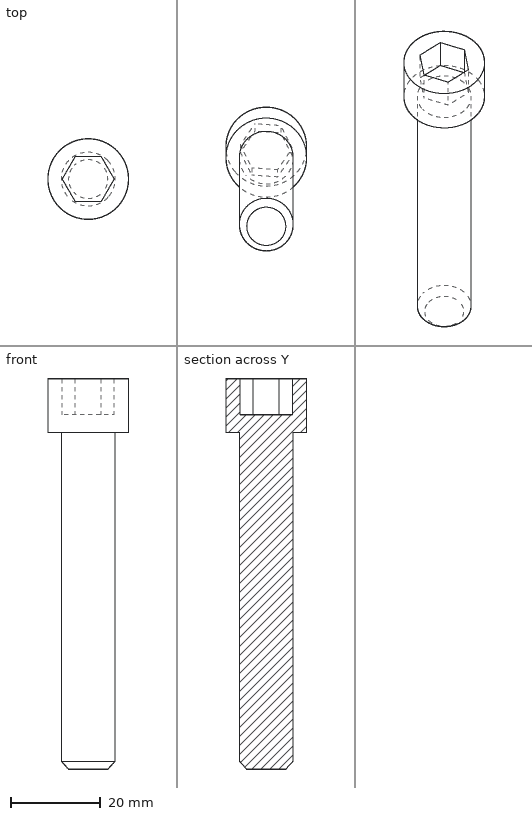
import cadquery as cq

total_length = 87.0
head_diameter = 18.0
shank_diameter = 12.0
head_height = shank_diameter
shank_length = total_length - head_height

socket_across_corners = 11.6
socket_depth = head_height * 2 / 3

tip_height = 1.8
tip_inset = 1.65

shank = (
    cq.Workplane("XY")
    .circle(shank_diameter / 2)
    .extrude(shank_length)
    .faces("<Z")
    .chamfer(tip_height, tip_inset)
)

head = (
    cq.Workplane("XY")
    .workplane(offset=shank_length)
    .circle(head_diameter / 2)
    .extrude(head_height)
)

socket = (
    cq.Workplane("XY")
    .workplane(offset=total_length)
    .polygon(6, socket_across_corners)
    .extrude(-socket_depth)
)

result = shank.union(head).cut(socket)